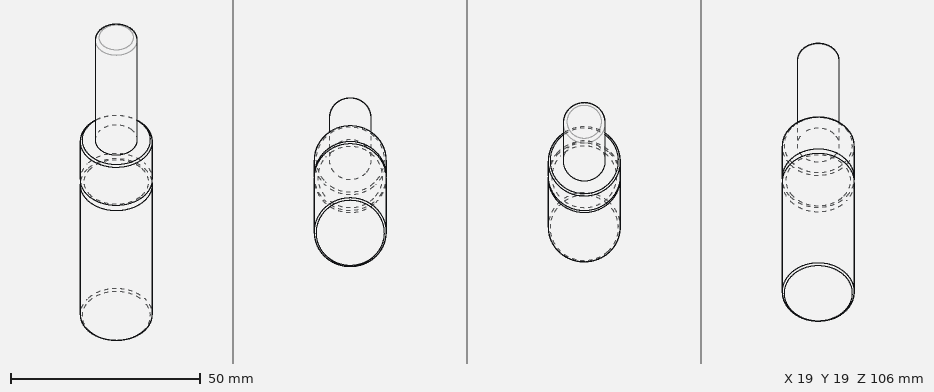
import cadquery as cq

total_length = 106.0
body_diameter = 19.0
body_length = 67.0
pin_diameter = 11.0
pin_tip_radius = 1.0
body_chamfer = 0.5

groove_center_height = 51.0
groove_radius = 1.0


def make_body():
    body = cq.Workplane("XY").circle(body_diameter / 2).extrude(body_length)
    return body.faces("<Z or >Z").edges().chamfer(body_chamfer)


def make_pin():
    pin = cq.Workplane("XY").circle(pin_diameter / 2).extrude(total_length)
    return pin.faces(">Z").edges().fillet(pin_tip_radius)


def make_groove_cutter():
    section = cq.Workplane("XZ").center(body_diameter / 2, groove_center_height).circle(groove_radius)
    axis_start = (-body_diameter / 2, 0)
    axis_end = (-body_diameter / 2, 1)
    return section.revolve(360, axis_start, axis_end)


result = make_body().cut(make_groove_cutter()).union(make_pin())